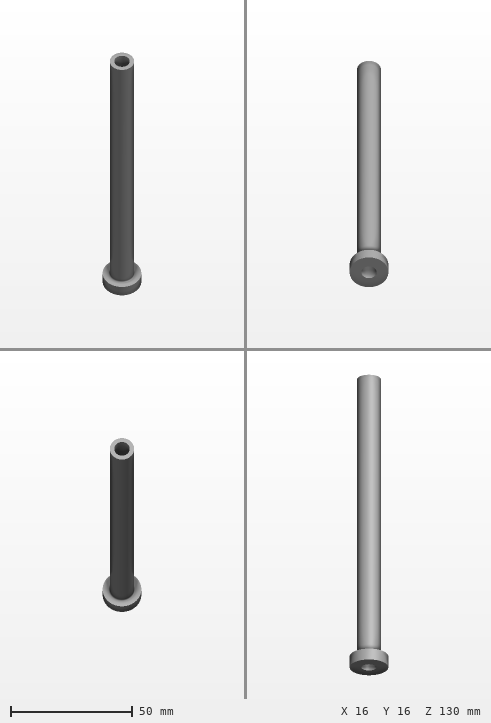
import cadquery as cq

total_length = 130.0
head_diameter = 16.0
head_height = 5.0
shaft_diameter = 10.0
bore_diameter = 6.4
neck_fillet = 0.5

head = cq.Workplane("XY").circle(head_diameter / 2).extrude(head_height)
shaft = cq.Workplane("XY").circle(shaft_diameter / 2).extrude(total_length)
body = head.union(shaft)

neck_edge = cq.selectors.RadiusNthSelector(0)
body = body.faces("<Z[1]").edges(neck_edge).fillet(neck_fillet)

bore = cq.Workplane("XY").circle(bore_diameter / 2).extrude(total_length)
result = body.cut(bore)